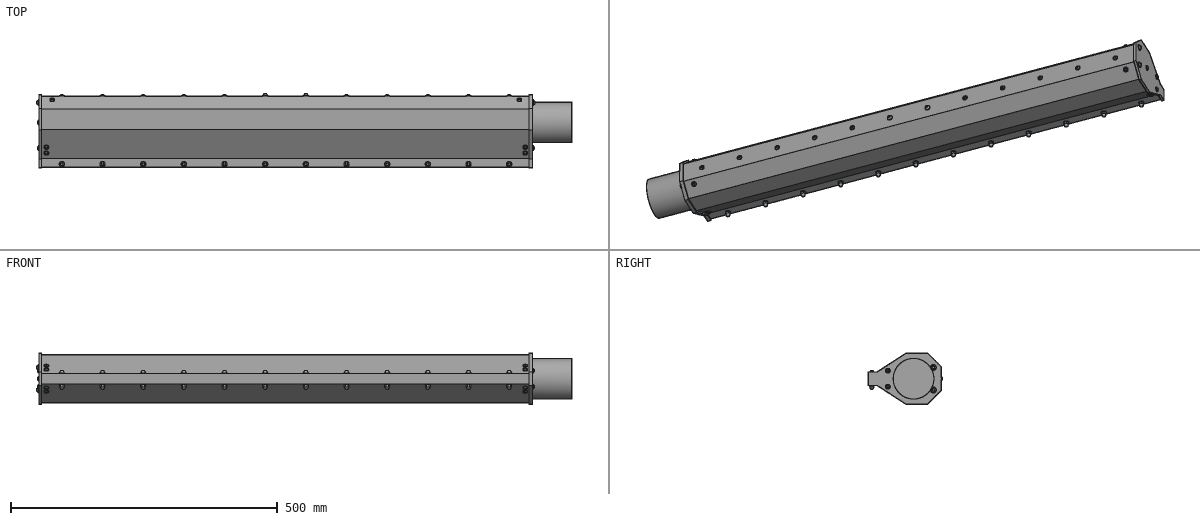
import cadquery as cq
import math

LEFT_FACE = -497.0
LEFT_PLATE_THICKNESS = 5.0
RIGHT_FACE = 428.0
RIGHT_PLATE_THICKNESS = 7.0
SPIGOT_END = 501
SPIGOT_DIAMETER = 76.0

HALF_HEIGHT = 45.0
BACK_Y = 49.0
BACK_CHAMFER = 24.0
SLOPE_TOP_Y = -13.0
LIP_ROOT_Y = -67.0
LIP_END_Y = -84.0
LIP_HALF_HEIGHT = 10.0
SLOPE_RISE = HALF_HEIGHT - LIP_HALF_HEIGHT
SLOPE_RUN = SLOPE_TOP_Y - LIP_ROOT_Y

PLATE_MARGIN = 3.0
PLATE_LIP_MARGIN = 1.0

SMALL_SCREW = (9.0, 1.0, 7.6, 2.0)
MEDIUM_SCREW = (10.0, 1.0, 9.5, 4.0)
LARGE_SCREW = (11.0, 1.0, 9.5, 3.0)
BUTTON_TOP_RATIO = 0.5
EMBED = 2.0

LARGE_SCREW_Y = 37.0
LARGE_SCREW_Z = 21.0
SMALL_SCREW_Y = -48.0
SMALL_SCREW_Z = 15.0

ROW_COUNT = 12
ROW_PITCH = 76.0
ROW_START_X = -454.0
LIP_BOLT_Y = -78.0
MIDDLE_POSITIONS = (ROW_COUNT // 2 - 1, ROW_COUNT // 2)

NUT_FLATS = 8.0
NUT_HEX_HEIGHT = 5.0
NUT_DOME_DIAMETER = 7.6
NUT_HEIGHT = 10.0

SLOPE_SCREW_INSET = 1.4
SLOPE_SCREW_YS = (-46.0, -57.0)
BACK_SCREW_INSET = 2.5
BACK_SCREW_Y = 42.0


def section(margin, lip_margin):
    """Closed Y-Z outline of the housing, grown by a margin, with its own value at the lip end."""
    slope_angle = math.atan2(SLOPE_RISE, SLOPE_RUN)
    chamfer_angle = math.radians(45)
    slope_shift = margin * math.tan(slope_angle / 2)
    chamfer_shift = margin * math.tan(chamfer_angle / 2)
    upper = [
        (LIP_END_Y - lip_margin, LIP_HALF_HEIGHT + margin),
        (LIP_ROOT_Y - slope_shift, LIP_HALF_HEIGHT + margin),
        (SLOPE_TOP_Y - slope_shift, HALF_HEIGHT + margin),
        (BACK_Y - BACK_CHAMFER + chamfer_shift, HALF_HEIGHT + margin),
        (BACK_Y + margin, HALF_HEIGHT - BACK_CHAMFER + chamfer_shift),
    ]
    lower = [(y, -z) for y, z in reversed(upper)]
    return upper + lower


def slab(x_start, x_end, margin=0, lip_margin=0):
    start_plane = cq.Workplane("YZ", origin=(x_start, 0, 0))
    return start_plane.polyline(section(margin, lip_margin)).close().extrude(x_end - x_start)


def screw(base, direction, sizes):
    """Washer and button head standing on a surface point, with a short shank below the surface."""
    washer_diameter, washer_height, head_diameter, head_height = sizes
    plane = cq.Plane(origin=base, normal=direction)
    head_plane = cq.Plane(origin=plane.toWorldCoords((0, 0, washer_height)), normal=direction)
    washer = cq.Workplane(plane).circle(washer_diameter / 2).extrude(washer_height)
    shank = cq.Workplane(plane).circle(head_diameter / 2).extrude(-EMBED)
    taper = math.degrees(math.atan2(head_diameter * (1 - BUTTON_TOP_RATIO) / 2, head_height))
    head = cq.Workplane(head_plane).circle(head_diameter / 2).extrude(head_height, taper=taper)
    return shank.union(washer).union(head)


def cap_nut(x):
    """Cap nut on a washer below the lip: a hexagon closed by a domed end."""
    washer_diameter, washer_height, _, _ = MEDIUM_SCREW
    lip_bottom = cq.Workplane("XY", origin=(x, LIP_BOLT_Y, -LIP_HALF_HEIGHT))
    washer = lip_bottom.workplane(offset=EMBED).circle(washer_diameter / 2).extrude(-EMBED - washer_height)
    corner_diameter = NUT_FLATS / math.cos(math.radians(30))
    hexagon = lip_bottom.polygon(6, corner_diameter).extrude(-NUT_HEX_HEIGHT)
    dome_radius = NUT_DOME_DIAMETER / 2
    dome = lip_bottom.circle(dome_radius).extrude(dome_radius - NUT_HEIGHT)
    ball = cq.Workplane("XY").sphere(dome_radius)
    ball = ball.translate((x, LIP_BOLT_Y, dome_radius - LIP_HALF_HEIGHT - NUT_HEIGHT))
    return washer.union(hexagon).union(dome).union(ball)


def plate_screws(x, outward):
    normal = (outward, 0, 0)
    screws = []
    for side in (-1, 1):
        screws.append(screw((x, LARGE_SCREW_Y, side * LARGE_SCREW_Z), normal, LARGE_SCREW))
        screws.append(screw((x, SMALL_SCREW_Y, side * SMALL_SCREW_Z), normal, SMALL_SCREW))
    return screws


def row_fasteners():
    fasteners = []
    for i in range(ROW_COUNT):
        x = ROW_START_X + i * ROW_PITCH
        fasteners.append(screw((x, LIP_BOLT_Y, LIP_HALF_HEIGHT), (0, 0, 1), MEDIUM_SCREW))
        fasteners.append(cap_nut(x))
        back_screw = MEDIUM_SCREW if i in MIDDLE_POSITIONS else SMALL_SCREW
        fasteners.append(screw((x, BACK_Y, 0), (0, 1, 0), back_screw))
    return fasteners


def slope_screws(plate_face, inward):
    """Screws on the front slopes and back chamfers next to one end plate."""
    screws = []
    for side in (-1, 1):
        for y in SLOPE_SCREW_YS:
            z = LIP_HALF_HEIGHT + (y - LIP_ROOT_Y) * SLOPE_RISE / SLOPE_RUN
            base = (plate_face + inward * SLOPE_SCREW_INSET, y, side * z)
            screws.append(screw(base, (0, -SLOPE_RISE, side * SLOPE_RUN), SMALL_SCREW))
        z = HALF_HEIGHT - BACK_CHAMFER + BACK_Y - BACK_SCREW_Y
        base = (plate_face + inward * BACK_SCREW_INSET, BACK_SCREW_Y, side * z)
        screws.append(screw(base, (0, 1, side), SMALL_SCREW))
    return screws


housing = slab(LEFT_FACE, RIGHT_FACE)
left_plate = slab(LEFT_FACE, LEFT_FACE + LEFT_PLATE_THICKNESS, PLATE_MARGIN, PLATE_LIP_MARGIN)
right_plate = slab(RIGHT_FACE - RIGHT_PLATE_THICKNESS, RIGHT_FACE, PLATE_MARGIN, PLATE_LIP_MARGIN)
spigot_base = cq.Workplane("YZ", origin=(RIGHT_FACE, 0, 0))
spigot = spigot_base.circle(SPIGOT_DIAMETER / 2).extrude(SPIGOT_END - RIGHT_FACE)

fasteners = plate_screws(LEFT_FACE, -1) + plate_screws(RIGHT_FACE, 1)
fasteners.append(screw((LEFT_FACE, 0, 0), (-1, 0, 0), SMALL_SCREW))
fasteners += slope_screws(LEFT_FACE, 10) + slope_screws(RIGHT_FACE, -10)
fasteners += row_fasteners()

result = housing.union(left_plate).union(right_plate).union(spigot)
for fastener in fasteners:
    result = result.union(fastener)